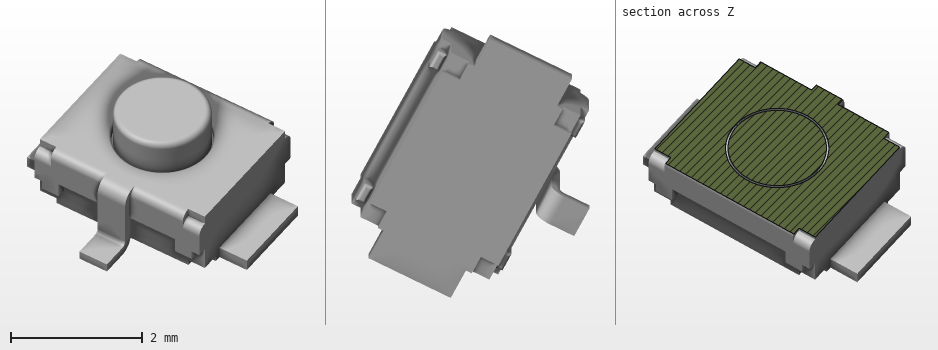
import cadquery as cq

HOUSING_LENGTH = 3.0
HOUSING_WIDTH = 2.2
CORNER_LENGTH = 0.3
CORNER_BOTTOM_Z = 0.5
FOOT_NOTCH_SIZE = 0.3
FOOT_NOTCH_HEIGHT = 0.1

SHEET = 0.15
COVER_TOP_Z = 1.2
COVER_BOTTOM_Z = COVER_TOP_Z - SHEET
FLAP_LENGTH = HOUSING_LENGTH - 2 * CORNER_LENGTH
FLAP_BOTTOM_Z = 0.6
TAB_WIDTH = 0.3
TAB_CENTER_X = 1.21
TAB_BOTTOM_Z = 0.3
TAB_FILLET = 0.05
OVERALL_WIDTH = HOUSING_WIDTH + 2 * SHEET

BUTTON_DIAMETER = 1.5
BUTTON_TOP_Z = 1.75
BUTTON_FILLET = 0.1
OPENING_DIAMETER = 1.56
OPENING_FILLET = 0.04

TERMINAL_SPAN = 4.0
TERMINAL_WIDTH = 1.4
TERMINAL_THICKNESS = 0.2

LEAD_WIDTH = 0.5
LEAD_INNER_RADIUS = 0.075
LEAD_OUTER_RADIUS = LEAD_INNER_RADIUS + SHEET
LEAD_TIP_Y = -1.9

SIDES = (-1, 1)


def block(length, width, z_bottom, z_top, x=0.0, y=0.0):
    """Box centred on (x, y) that spans z_bottom to z_top."""
    return (
        cq.Workplane("XY")
        .box(length, width, z_top - z_bottom, centered=(True, True, False))
        .translate((x, y, z_bottom))
    )


def rounded_wall(length, z_bottom, z_top, x=0.0):
    """Sheet-thick wall on the -Y side whose top outer edge is a full quarter round."""
    inner_y = -HOUSING_WIDTH / 2
    wall = block(length, SHEET, z_bottom, z_top - SHEET, x, inner_y - SHEET / 2)
    quarter_round = (
        cq.Workplane("YZ")
        .moveTo(inner_y, z_top - SHEET)
        .lineTo(inner_y - SHEET, z_top - SHEET)
        .radiusArc((inner_y, z_top), SHEET)
        .close()
        .extrude(length / 2, both=True)
        .translate((x, 0, 0))
    )
    return wall.union(quarter_round)


def both_long_sides(feature):
    """Feature on the -Y side together with its mirror image on the +Y side."""
    return feature.union(feature.mirror("XZ"))


def make_housing():
    housing = block(HOUSING_LENGTH, HOUSING_WIDTH, 0, COVER_BOTTOM_Z)
    corner_x = (HOUSING_LENGTH - CORNER_LENGTH) / 2
    notch_x = (HOUSING_LENGTH - FOOT_NOTCH_SIZE) / 2
    notch_y = (HOUSING_WIDTH - FOOT_NOTCH_SIZE) / 2
    for side in SIDES:
        corner = rounded_wall(CORNER_LENGTH, CORNER_BOTTOM_Z, COVER_BOTTOM_Z, side * corner_x)
        housing = housing.union(both_long_sides(corner))
        notch = block(
            FOOT_NOTCH_SIZE, FOOT_NOTCH_SIZE, 0, FOOT_NOTCH_HEIGHT, side * notch_x, -notch_y
        )
        housing = housing.cut(both_long_sides(notch))
    return housing


def make_flap():
    flap = rounded_wall(FLAP_LENGTH, FLAP_BOTTOM_Z, COVER_TOP_Z)
    tab_y = -(HOUSING_WIDTH + SHEET) / 2
    inner_end = TAB_CENTER_X - TAB_WIDTH / 2
    riser_length = FLAP_LENGTH / 2 - inner_end
    riser_x = inner_end + riser_length / 2
    for side in SIDES:
        tab = block(TAB_WIDTH, SHEET, TAB_BOTTOM_Z, CORNER_BOTTOM_Z, side * TAB_CENTER_X, tab_y)
        riser = block(riser_length, SHEET, CORNER_BOTTOM_Z, FLAP_BOTTOM_Z, side * riser_x, tab_y)
        flap = flap.union(tab.faces("<Z").edges().fillet(TAB_FILLET)).union(riser)
    return flap


def make_cover():
    plate = (
        block(HOUSING_LENGTH, HOUSING_WIDTH, COVER_BOTTOM_Z, COVER_TOP_Z)
        .faces(">Z")
        .workplane()
        .hole(OPENING_DIAMETER)
    )
    plate = plate.faces(">Z").edges("%CIRCLE").fillet(OPENING_FILLET)
    return plate.union(both_long_sides(make_flap()))


def make_button():
    return (
        cq.Workplane("XY", origin=(0, 0, COVER_BOTTOM_Z))
        .circle(BUTTON_DIAMETER / 2)
        .extrude(BUTTON_TOP_Z - COVER_BOTTOM_Z)
        .faces(">Z")
        .edges()
        .fillet(BUTTON_FILLET)
    )


def make_lead():
    """S-bent strip running from the cover plate down the -Y flap to the mounting plane."""
    start_y = -HOUSING_WIDTH / 2
    inner_y = -OVERALL_WIDTH / 2
    outer_y = inner_y - SHEET
    upper_bend_y = inner_y + LEAD_INNER_RADIUS
    upper_bend_z = COVER_BOTTOM_Z - LEAD_INNER_RADIUS
    lower_bend_y = outer_y - LEAD_INNER_RADIUS
    lower_bend_z = LEAD_OUTER_RADIUS
    return (
        cq.Workplane("YZ")
        .moveTo(start_y, COVER_TOP_Z)
        .lineTo(upper_bend_y, COVER_TOP_Z)
        .radiusArc((outer_y, upper_bend_z), -LEAD_OUTER_RADIUS)
        .lineTo(outer_y, lower_bend_z)
        .radiusArc((lower_bend_y, SHEET), LEAD_INNER_RADIUS)
        .lineTo(LEAD_TIP_Y, SHEET)
        .lineTo(LEAD_TIP_Y, 0)
        .lineTo(lower_bend_y, 0)
        .radiusArc((inner_y, lower_bend_z), -LEAD_OUTER_RADIUS)
        .lineTo(inner_y, upper_bend_z)
        .radiusArc((upper_bend_y, COVER_BOTTOM_Z), LEAD_INNER_RADIUS)
        .lineTo(start_y, COVER_BOTTOM_Z)
        .close()
        .extrude(LEAD_WIDTH / 2, both=True)
    )


def make_terminals():
    return block(TERMINAL_SPAN, TERMINAL_WIDTH, 0, TERMINAL_THICKNESS)


result = (
    make_housing()
    .union(make_cover())
    .union(make_button())
    .union(make_terminals())
    .union(make_lead())
)